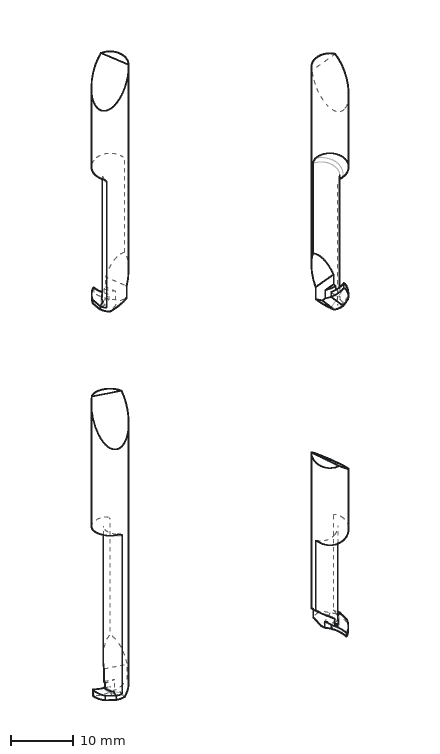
import cadquery as cq
import math

LENGTH = 55.0
BAR_RADIUS = 3.0
MARGIN = 2.75
REACH = BAR_RADIUS + MARGIN

SLANT_ANGLE = 30.0
SLANT = math.tan(math.radians(SLANT_ANGLE))
TOP_SLANT_Y = 1.55
FRONT_FLAT_Y = 0.2
FRONT_FLAT_HEIGHT = 4.45

NECK_CENTER_X = 2.0
NECK_RADIUS = 2.95
SHANK_BOTTOM_Z = 31.1
NECK_TOP_FILLET = 0.5
NECK_BOTTOM_FILLET = 0.3

TIP_HEIGHT = 1.2
TIP_SPLIT_X = -0.1
CLEARANCE_RISE = 0.2
END_RISE = 0.15
EDGE_Y = -0.1
EDGE_X = -2.95
LAND_DEPTH = 0.3
RELIEF_MID = (-2.6, -1.45)
HEEL = (-1.75, -2.4)

GROOVE_HEIGHT = 2.1
GROOVE_LOW = (-1.55, -0.35)
GROOVE_END_X = 0.8

FOOT_CHAMFER = 1.65


def along_x(points):
    """Extrude a Y-Z outline right across the bar."""
    return cq.Workplane("YZ").polyline(points).close().extrude(REACH, both=True)


def clearance_at(y):
    return CLEARANCE_RISE * (EDGE_Y - y) / BAR_RADIUS


def top_slant():
    drop = (TOP_SLANT_Y + REACH) / SLANT
    return along_x([(TOP_SLANT_Y, LENGTH), (-REACH, LENGTH), (-REACH, LENGTH - drop)])


def front_relief():
    """Half-section at the foot that runs out along a slant."""
    rise = (REACH - FRONT_FLAT_Y) / SLANT
    return along_x([
        (FRONT_FLAT_Y, -MARGIN),
        (FRONT_FLAT_Y, FRONT_FLAT_HEIGHT),
        (REACH, FRONT_FLAT_HEIGHT + rise),
        (REACH, -MARGIN),
    ])


def neck_relief():
    """Space beside the neck, rounded where it meets the shank and the tip."""
    space = along_x([
        (-REACH, TIP_HEIGHT - clearance_at(-REACH)),
        (REACH, TIP_HEIGHT - clearance_at(REACH)),
        (REACH, SHANK_BOTTOM_Z),
        (-REACH, SHANK_BOTTOM_Z),
    ])
    beyond_neck = cq.Workplane("XY").box(
        2 * REACH, 4 * REACH, LENGTH, centered=(False, True, False)
    ).translate((NECK_CENTER_X, 0, 0))
    neck = cq.Workplane("XY").center(NECK_CENTER_X, 0).circle(NECK_RADIUS).extrude(LENGTH)
    space = space.cut(beyond_neck).cut(neck)
    wall = space.faces("%CYLINDER")
    top_edge = wall.edges(">Z")
    space = top_edge.fillet(NECK_TOP_FILLET)
    wall = space.faces("%CYLINDER")
    bottom_edge = wall.edges("<Z")
    return bottom_edge.fillet(NECK_BOTTOM_FILLET)


def foot_clearance():
    return along_x([
        (-REACH, -MARGIN),
        (-REACH, clearance_at(-REACH)),
        (EDGE_Y, 0),
        (EDGE_Y, -MARGIN),
    ])


def end_clearance():
    return (
        cq.Workplane("XZ")
        .polyline([(EDGE_X, 0), (BAR_RADIUS, 0), (BAR_RADIUS, END_RISE)])
        .close()
        .extrude(REACH, both=True)
    )


def foot_chamfer():
    return (
        cq.Workplane("XZ")
        .polyline([(BAR_RADIUS - FOOT_CHAMFER, 0), (BAR_RADIUS, 0), (BAR_RADIUS, FOOT_CHAMFER)])
        .close()
        .extrude(REACH, both=True)
    )


def chip_groove():
    return (
        cq.Workplane("XY")
        .moveTo(-BAR_RADIUS, EDGE_Y)
        .threePointArc(GROOVE_LOW, (GROOVE_END_X, FRONT_FLAT_Y))
        .lineTo(-BAR_RADIUS, FRONT_FLAT_Y)
        .close()
        .extrude(GROOVE_HEIGHT)
    )


def tip_envelope():
    """Plan of the tip: narrow land, curved relief and flat heel."""
    split_y = -math.sqrt(BAR_RADIUS**2 - TIP_SPLIT_X**2)
    return (
        cq.Workplane("XY")
        .moveTo(TIP_SPLIT_X, FRONT_FLAT_Y)
        .lineTo(EDGE_X, FRONT_FLAT_Y)
        .lineTo(EDGE_X, EDGE_Y - LAND_DEPTH)
        .threePointArc(RELIEF_MID, HEEL)
        .lineTo(TIP_SPLIT_X, split_y)
        .close()
        .extrude(TIP_HEIGHT)
    )


def split_region():
    """Block around the foot, on the tip side of the joint."""
    return cq.Workplane("XY").box(
        REACH, 2 * REACH, TIP_HEIGHT, centered=(False, True, False)
    ).translate((TIP_SPLIT_X - REACH, 0, 0))


def whole_blank():
    blank = cq.Workplane("XY").circle(BAR_RADIUS).extrude(LENGTH)
    cutters = [
        top_slant(),
        front_relief(),
        neck_relief(),
        foot_clearance(),
        end_clearance(),
        foot_chamfer(),
        chip_groove(),
    ]
    for cutter in cutters:
        blank = blank.cut(cutter)
    return blank


blank = whole_blank()
bar = blank.cut(split_region())
tip = blank.intersect(tip_envelope())

result = cq.Compound.makeCompound([bar.val(), tip.val()])